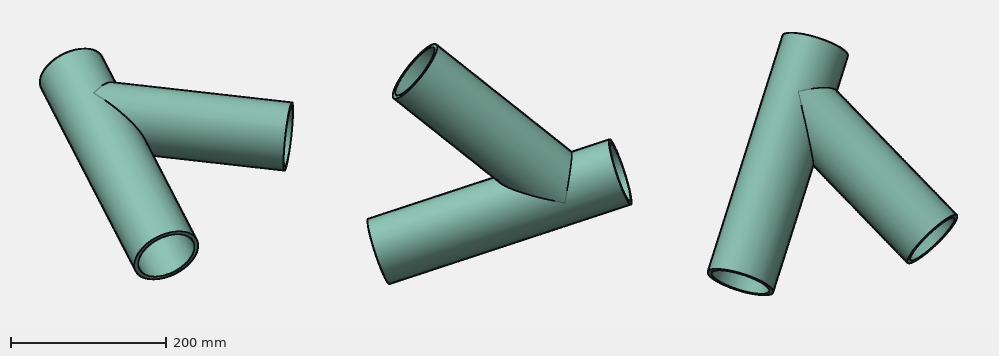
import cadquery as cq
import math

run_length = 330.2
outer_diameter = 88.8
bore_diameter = 78.0
branch_angle = 60.0
branch_length = 254.0
junction_x = 76.0

branch_direction = cq.Vector(
    math.cos(math.radians(branch_angle)),
    math.sin(math.radians(branch_angle)),
    0,
)


def run_cylinder(diameter):
    """Cylinder along the straight run, starting at the origin."""
    return cq.Workplane("YZ").circle(diameter / 2).extrude(run_length)


def branch_cylinder(diameter):
    """Cylinder along the branch, starting on the run axis."""
    plane = cq.Plane(origin=(junction_x, 0, 0), xDir=(0, 0, 1), normal=branch_direction)
    return cq.Workplane(plane).circle(diameter / 2).extrude(branch_length)


def both_pipes(diameter):
    """Run and branch cylinders of one diameter, joined."""
    return run_cylinder(diameter).union(branch_cylinder(diameter))


result = both_pipes(outer_diameter).cut(both_pipes(bore_diameter))